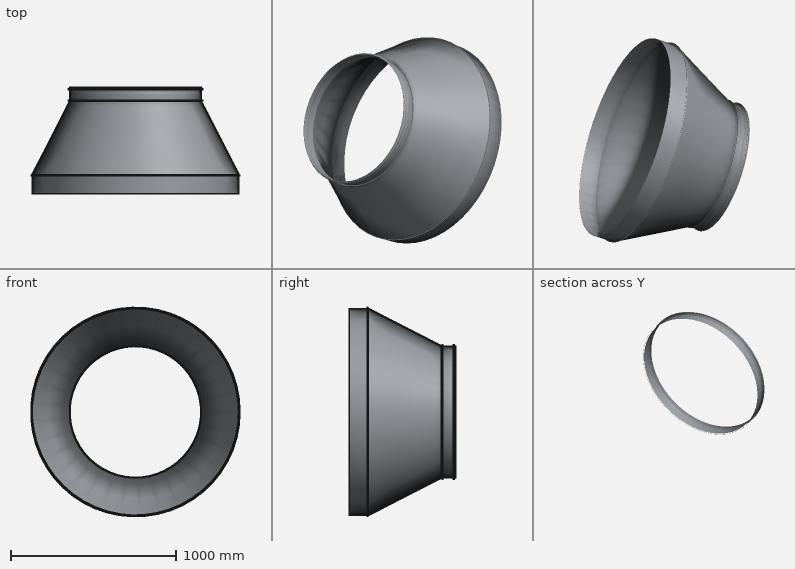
import cadquery as cq

length = 647.0
sheet = 0.8
stub_length = 4.0
fold = 3.2

wide_radius = 1251.0 / 2
wide_lip_radius = 1265 / 2
wide_seam_y = 110.0
wide_stub_radius = 1254.0 / 2

narrow_radius = 798.0 / 2
narrow_lip_radius = 812.0 / 2
narrow_seam_y = 563.0

spigot_radius = 795.0 / 2
step_start_y = 607
step_end_y = 614.0

ring_width = 10.0
ring_root_radius = 802.0 / 2
ring_lip_inner_radius = 808.0 / 2
ring_lip_radius = 812.0 / 2
ring_flare_start_y = 641.0
ring_lip_bend_y = 635.0
ring_lip_end_y = 631.0


def revolve_profile(points):
    """Turn a closed (radius, Y) outline about the Y axis."""
    return cq.Workplane("XY").polyline(points).close().revolve(360, (0, 0), (0, 1))


def make_wide_collar():
    """Straight tube whose inner end is flanged outward, inside the cone's folded edge."""
    inside = wide_radius - sheet
    flange_radius = wide_lip_radius - sheet
    flange_top = wide_seam_y + sheet
    return revolve_profile([
        (inside, 0),
        (wide_radius, 0),
        (wide_radius, wide_seam_y),
        (flange_radius, wide_seam_y),
        (flange_radius, flange_top),
        (inside, flange_top),
    ])


def make_cone():
    """Conical wall with a straight stub, a flange and a folded edge at each seam."""
    wide_top = wide_seam_y + sheet
    cone_start = wide_top + sheet + stub_length
    narrow_top = narrow_seam_y + sheet
    cone_end = narrow_seam_y - stub_length
    outside = [
        (wide_stub_radius - sheet, wide_top),
        (wide_lip_radius - sheet, wide_top),
        (wide_lip_radius - sheet, wide_top + sheet - fold),
        (wide_lip_radius, wide_top + sheet - fold),
        (wide_lip_radius, wide_top + sheet),
        (wide_stub_radius, wide_top + sheet),
        (wide_stub_radius, cone_start),
        (narrow_radius, cone_end),
        (narrow_radius, narrow_seam_y),
        (narrow_lip_radius, narrow_seam_y),
        (narrow_lip_radius, narrow_seam_y + fold),
        (narrow_lip_radius - sheet, narrow_seam_y + fold),
        (narrow_lip_radius - sheet, narrow_top),
    ]
    inside = [
        (narrow_radius - sheet, narrow_top),
        (narrow_radius - sheet, cone_end),
        (wide_stub_radius - sheet, cone_start),
    ]
    return revolve_profile(outside + inside)


def make_narrow_collar():
    """Tube with a flange in the cone's folded edge and a stepped-in spigot at its far end."""
    flange_bottom = narrow_seam_y + sheet
    flange_radius = narrow_lip_radius - sheet
    spigot_end_y = length - ring_width
    return revolve_profile([
        (narrow_radius - sheet, flange_bottom),
        (flange_radius, flange_bottom),
        (flange_radius, flange_bottom + sheet),
        (narrow_radius, flange_bottom + sheet),
        (narrow_radius, step_start_y),
        (spigot_radius, step_end_y),
        (spigot_radius, spigot_end_y),
        (spigot_radius - sheet, spigot_end_y),
        (spigot_radius - sheet, step_end_y),
        (narrow_radius - sheet, step_start_y),
    ])


def make_end_ring():
    """Ring that caps the spigot, with a thin lip swept back toward the collar."""
    bottom = length - ring_width
    return revolve_profile([
        (spigot_radius - sheet, bottom),
        (ring_root_radius, bottom),
        (ring_lip_inner_radius, ring_lip_bend_y),
        (ring_lip_inner_radius, ring_lip_end_y),
        (ring_lip_radius, ring_lip_end_y),
        (ring_lip_radius, ring_lip_bend_y),
        (narrow_radius, ring_flare_start_y),
        (narrow_radius, length),
        (spigot_radius - sheet, length),
    ])


wide_collar = make_wide_collar()
cone = make_cone()
narrow_collar = make_narrow_collar()
end_ring = make_end_ring()

result = cq.Compound.makeCompound([
    wide_collar.val(),
    cone.val(),
    narrow_collar.val(),
    end_ring.val(),
])